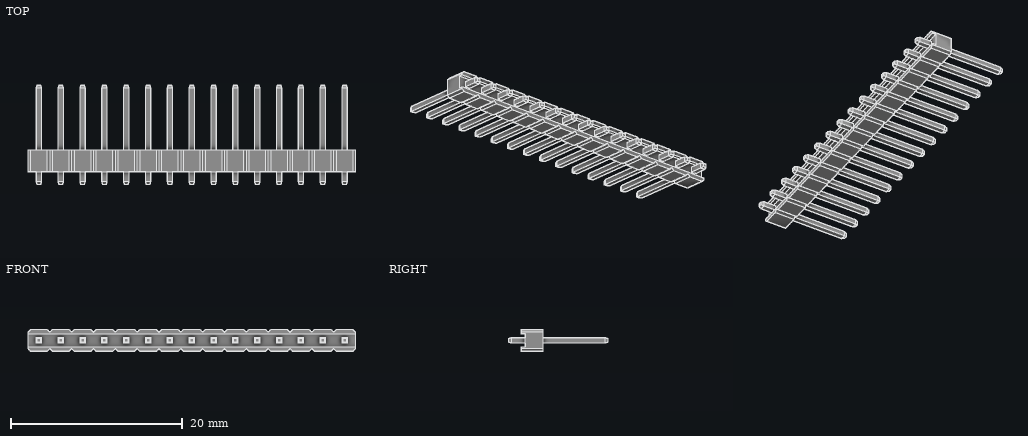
import cadquery as cq

pin_count = 15
row_length = 38.1
pitch = row_length / pin_count
housing_depth = 2.55
housing_height = 2.55
corner_chamfer = 0.3

groove_depth = 0.45
groove_height = 1.52

pin_width = 0.65
pin_long_end = 7.55
pin_short_end = 1.5
tip_length = 0.35
tip_inset = 0.1

stations = [(i + 0.5) * pitch - row_length / 2 for i in range(pin_count)]


def housing_cell(x):
    """One pitch of the housing, with its four lengthwise edges chamfered."""
    return (
        cq.Workplane("XY")
        .box(pitch, housing_depth, housing_height)
        .edges("|Y")
        .chamfer(corner_chamfer)
        .translate((x, housing_depth / 2, 0))
    )


def groove():
    """Channel along the whole row in the short-pin face."""
    return (
        cq.Workplane("XY")
        .box(row_length, groove_depth, groove_height)
        .translate((0, groove_depth / 2, 0))
    )


def tapered_tip(shaft_face):
    """Pyramid frustum standing on one end face of a pin shaft."""
    tip_width = pin_width - 2 * tip_inset
    return (
        shaft_face.workplane(centerOption="CenterOfMass")
        .rect(pin_width, pin_width)
        .workplane(offset=tip_length)
        .rect(tip_width, tip_width)
        .loft(combine=True)
    )


def pin(x):
    """Square pin through the housing, tapered at both tips."""
    shaft_start = tip_length - pin_short_end
    shaft_end = housing_depth + pin_long_end - tip_length
    shaft_length = shaft_end - shaft_start
    shaft = (
        cq.Workplane("XY")
        .box(pin_width, shaft_length, pin_width)
        .translate((x, (shaft_start + shaft_end) / 2, 0))
    )
    short_tipped = tapered_tip(shaft.faces("<Y"))
    return tapered_tip(short_tipped.faces(">Y"))


result = housing_cell(stations[0])
for station in stations[1:]:
    result = result.union(housing_cell(station))

result = result.cut(groove())

for station in stations:
    result = result.union(pin(station))

result = result.clean()